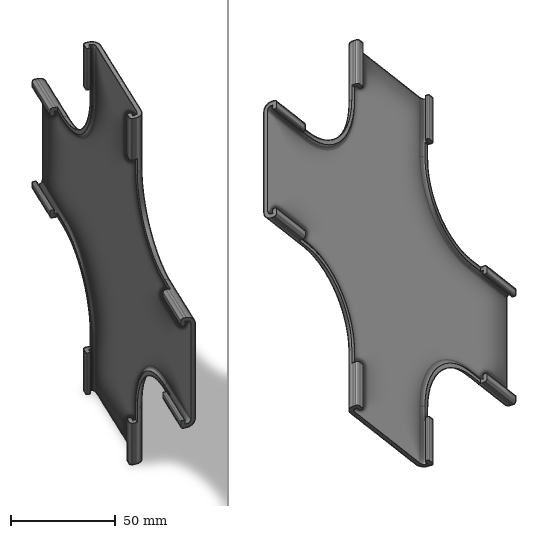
import cadquery as cq
import math

span = 205.0
height = 7.4
arm_width = 65.2
sheet = 2.3
bend_radius = 4.5
cove_center = 70.0
flange_depth = 3.7
hook_length = 24.5
lip_reach = 4.7
lip_radius = 1.5
tip_radius = 0.6

half_span = span / 2
rim = arm_width / 2
flat_edge = rim - bend_radius
inner_radius = bend_radius - sheet
inner_wall = rim - sheet
hook_start = half_span - hook_length
cove_flat_radius = cove_center - flat_edge
diagonal = math.sqrt(0.5)


def four_quarters(quarter):
    """Copies of one corner's geometry at every 90 degrees about the Y axis."""
    whole = quarter
    for turn in range(1, 4):
        whole = whole.union(quarter.rotate((0, 0, 0), (0, 1, 0), 90 * turn))
    return whole


def sheet_quarter():
    """Flat sheet of the +X +Z quarter, ending where the bends start."""
    near = cove_center - cove_flat_radius * diagonal
    return (
        cq.Workplane("XZ")
        .lineTo(half_span, 0)
        .lineTo(half_span, flat_edge)
        .lineTo(cove_center, flat_edge)
        .threePointArc((near, near), (flat_edge, cove_center))
        .lineTo(flat_edge, half_span)
        .lineTo(0, half_span)
        .close()
        .extrude(sheet)
    )


def bend_point(radius, drop):
    """Point on a bend arc of the given radius, at a given drop towards -Y from the arc's start."""
    reach = math.sqrt(radius**2 - (radius - drop) ** 2)
    return (flat_edge + reach, -(bend_radius - radius) - drop)


def flange_profile():
    """Bent rim section, cut off flat at the flange depth."""
    inner_drop = flange_depth - sheet
    return (
        cq.Workplane("XY")
        .moveTo(flat_edge, 0)
        .threePointArc(
            bend_point(bend_radius, flange_depth / 2),
            bend_point(bend_radius, flange_depth),
        )
        .lineTo(*bend_point(inner_radius, inner_drop))
        .threePointArc(
            bend_point(inner_radius, inner_drop / 2),
            bend_point(inner_radius, 0),
        )
        .close()
    )


def hook_profile():
    """Bent rim section carried on to an inward-turned lip."""
    lip_tip = rim - lip_reach
    corner = lip_radius * (1 - diagonal)
    return (
        cq.Workplane("XY")
        .moveTo(flat_edge, 0)
        .threePointArc(
            bend_point(bend_radius, bend_radius / 2),
            bend_point(bend_radius, bend_radius),
        )
        .lineTo(rim, -height + lip_radius)
        .threePointArc((rim - corner, -height + corner), (rim - lip_radius, -height))
        .lineTo(lip_tip, -height)
        .lineTo(lip_tip, -height + sheet)
        .lineTo(inner_wall, -height + sheet)
        .lineTo(inner_wall, -bend_radius)
        .threePointArc(
            bend_point(inner_radius, inner_radius / 2),
            bend_point(inner_radius, 0),
        )
        .close()
    )


def arm_rim():
    """Rim along the +X side of the +Z arm: plain flange, then hook at the end."""
    flange = flange_profile().extrude(hook_start - cove_center)
    hook = hook_profile().extrude(hook_length)
    hook = hook.faces("<X").edges("|Z").fillet(tip_radius)
    return flange.translate((0, 0, cove_center)).union(hook.translate((0, 0, hook_start)))


def cove_rim():
    """Flange swept round the inner corner between the +X and +Z arms."""
    ring_quarter = flange_profile().revolve(90, (cove_center, 0, 0), (cove_center, -1, 0))
    return ring_quarter.translate((0, 0, cove_center))


def corner_rim():
    """Whole rim between the tips of the +X and +Z arms."""
    upright = arm_rim()
    level = upright.mirror("XY").rotate((0, 0, 0), (0, 1, 0), -90)
    return upright.union(cove_rim()).union(level)


result = four_quarters(sheet_quarter()).union(four_quarters(corner_rim()))